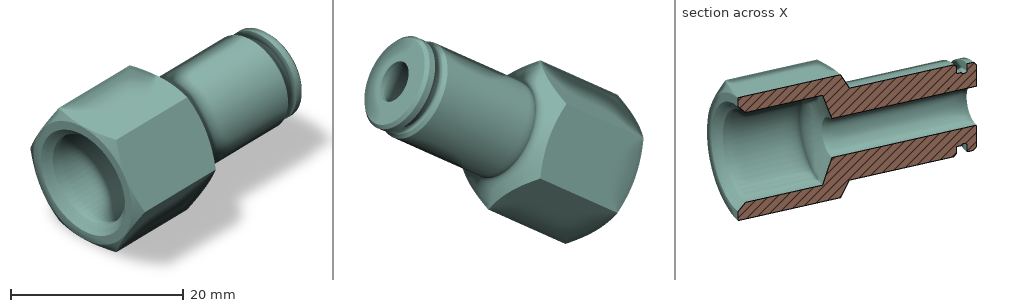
import cadquery as cq
import math


total_length = 31.0
across_flats = 16.0
hex_sides = 6
across_corners = across_flats / math.cos(math.pi / hex_sides)
corner_radius = across_corners / 2
hex_chamfer_angle = 30.0
mouth_face_radius = 7.9

body_radius = 12.0 / 2
body_start = 14.5
body_chamfer = 0.4

collar_radius = 11.5 / 2
collar_thickness = 1.25
collar_chamfer = 0.4
neck_radius = 9.55 / 2
neck_length = 1.3
groove_width = 0.75
groove_depth = 0.2

passage_radius = 5.0 / 2
socket_radius = 11.6 / 2
socket_depth = 11.0
socket_floor_angle = 70.0
countersink_radius = 13.6 / 2
countersink_angle = 45.0

chamfer_slope = math.tan(math.radians(hex_chamfer_angle))
mouth_corner_y = (corner_radius - mouth_face_radius) * chamfer_slope
shoulder_corner_y = body_start - (corner_radius - body_radius) * chamfer_slope
collar_start = total_length - collar_thickness
body_end = collar_start - neck_length
countersink_depth = (countersink_radius - socket_radius) / math.tan(math.radians(countersink_angle))
socket_floor_rise = (socket_radius - passage_radius) / math.tan(math.radians(socket_floor_angle))


def revolve_about_y(profile):
    """Turn a closed (radius, Y) profile a full circle about the Y axis."""
    return profile.close().revolve(360, (0, 0, 0), (0, 1, 0))


def make_hexagon():
    """Hexagonal prism along +Y, corners on X, with both ends turned to 30 degree cones."""
    prism = cq.Workplane("XZ").polygon(hex_sides, across_corners).extrude(-body_start)
    envelope = revolve_about_y(
        cq.Workplane("XY")
        .lineTo(mouth_face_radius, 0)
        .lineTo(corner_radius, mouth_corner_y)
        .lineTo(corner_radius, shoulder_corner_y)
        .lineTo(body_radius, body_start)
        .lineTo(0, body_start)
    )
    return prism.intersect(envelope)


def make_round_end():
    """Cylindrical body, grooved neck and release collar as one turned profile."""
    return revolve_about_y(
        cq.Workplane("XY")
        .moveTo(0, shoulder_corner_y)
        .lineTo(body_radius, shoulder_corner_y)
        .lineTo(body_radius, body_end - body_chamfer)
        .lineTo(body_radius - body_chamfer, body_end)
        .lineTo(neck_radius, body_end)
        .lineTo(neck_radius, collar_start - groove_width)
        .threePointArc(
            (neck_radius - groove_depth, collar_start - groove_width / 2),
            (neck_radius, collar_start),
        )
        .lineTo(collar_radius, collar_start)
        .lineTo(collar_radius, total_length - collar_chamfer)
        .lineTo(collar_radius - collar_chamfer, total_length)
        .lineTo(0, total_length)
    )


def make_bore():
    """Countersunk socket with a conical floor, leading into the through passage."""
    return revolve_about_y(
        cq.Workplane("XY")
        .lineTo(countersink_radius, 0)
        .lineTo(socket_radius, countersink_depth)
        .lineTo(socket_radius, socket_depth)
        .lineTo(passage_radius, socket_depth + socket_floor_rise)
        .lineTo(passage_radius, total_length)
        .lineTo(0, total_length)
    )


result = make_hexagon().union(make_round_end()).cut(make_bore())